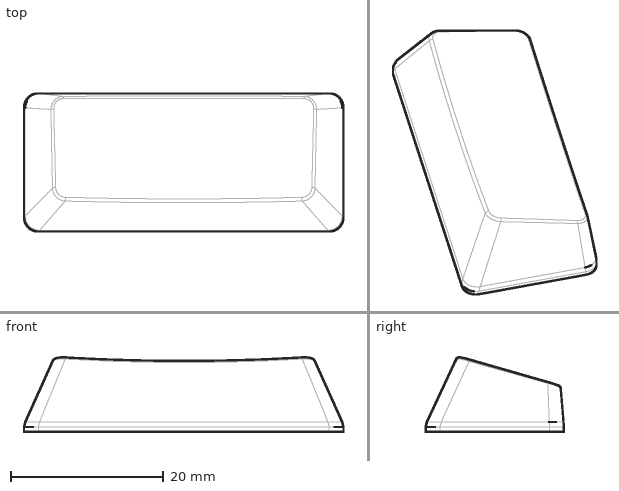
import cadquery as cq
import math

length = 41.95
width = 18.17
half_length = length / 2
half_width = width / 2

skirt_height = 0.65
band_top = 1.3

band_inset = 0.15
band_inset_back = 0.05

rim_front_y = -4.85
rim_front_z = 10.0
rim_back_y = 8.65
rim_back_z = 6.1
rim_front_half_length = 17.1
rim_back_half_length = 17.35

base_corner_radius = 1.9
rim_corner_radius = 1.7

dish_half_chord = 17.4
dish_depth = 0.65
dish_overrun = 8.4

rim_fillet = 0.4


def rounded_outline(corners, radius):
    """Closed four-sided wire through the corners, each corner rounded."""
    points = [cq.Vector(*corner) for corner in corners]
    polygon = cq.Wire.makePolygon(points, close=True)
    return polygon.fillet2D(radius, polygon.Vertices())


def level_outline(z, inset=0, back_inset=0):
    """Rounded base outline at height z, drawn in by one inset at the back and another elsewhere."""
    x = half_length - inset
    front_y = -half_width + inset
    back_y = half_width - back_inset
    corners = [(-x, front_y, z), (x, front_y, z), (x, back_y, z), (-x, back_y, z)]
    return rounded_outline(corners, base_corner_radius)


def rim_outline():
    """Rounded outline of the tilted top before it is dished."""
    corners = [
        (-rim_front_half_length, rim_front_y, rim_front_z),
        (rim_front_half_length, rim_front_y, rim_front_z),
        (rim_back_half_length, rim_back_y, rim_back_z),
        (-rim_back_half_length, rim_back_y, rim_back_z),
    ]
    return rounded_outline(corners, rim_corner_radius)


def make_body():
    """Skirt, band and tapering walls stacked as straight-ruled lofts."""
    outlines = [
        level_outline(0),
        level_outline(skirt_height),
        level_outline(band_top, band_inset, band_inset_back),
        rim_outline(),
    ]
    return cq.Workplane(obj=cq.Solid.makeLoft(outlines, ruled=True))


def make_dish():
    """Large cylinder lying along the tilted top and sinking into it by the dish depth."""
    radius = (dish_half_chord**2 + dish_depth**2) / (2 * dish_depth)
    run = rim_back_y - rim_front_y
    drop = rim_front_z - rim_back_z
    slope_length = math.hypot(run, drop)
    slope = cq.Vector(0, run, -drop).normalized()
    upward = cq.Vector(0, drop, run).normalized()
    front_middle = cq.Vector(0, rim_front_y, rim_front_z)
    start = front_middle + upward * (radius - dish_depth) - slope * dish_overrun
    dish = cq.Solid.makeCylinder(radius, slope_length + 2 * dish_overrun, start, slope)
    return cq.Workplane(obj=dish)


dished = make_body().cut(make_dish())

above_middle = cq.selectors.NearestToPointSelector((0, 0, rim_front_z))
result = dished.faces(above_middle).edges().fillet(rim_fillet)